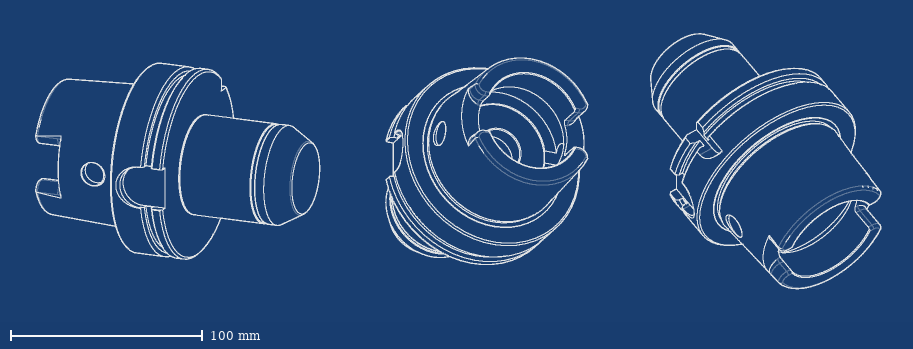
import cadquery as cq
import math


flange_radius = 50.0
flange_length = 29.0
flange_front_chamfer = 1.0
flange_rear_chamfer = 1.2
grip_groove_start = 17.0
grip_groove_width = 6.5
grip_groove_radius = 46.0
grip_lip_length = 1.3
grip_lip_depth = 2.0
face_relief_radius = 40.0
face_relief_depth = 0.5

shank_length = 50.0
taper_radius_at_flange = 38.15
taper_slope = 1 / 20
taper_end = -2.4
neck_start = -1.3
neck_radius = 37.4
shank_rim_radius = 1.6

nose_end = 90.0
nose_radius = 26.35
nose_relief_length = 0.7
nose_relief_depth = 0.3
ring_groove_start = 69.5
ring_groove_width = 2.8
ring_groove_depth = 0.4
ring_groove_slope = 0.4
nose_cone_start = 77.3
nose_cone_angle = 30.0
nose_end_chamfer = 0.75

bore_radius = 26.5
bore_straight_length = 19.0
bore_depth = 40.0
undercut_radius = 32.0
floor_recess_radius = 25.4
floor_recess_depth = 1.2
bore_mouth_chamfer = 0.5
centre_hole_radius = 11.6
centre_hole_depth = 10.0
centre_hole_chamfer = 0.5

drive_slot_half_width = 10.0
drive_slot_corner_radius = 2.0
front_slot_depth = 15.0
rear_slot_depth = 10.0
slot_flare_radius = 5.3
slot_flare_start = 26.9

cross_hole_x = -15.2
cross_hole_radius = 6.25
cross_hole_sink_start = 36.7

keyway_half_width = 11.0
keyway_end_x = 5.1
keyway_floor = 44.0
keyway_chamfer_start = 48.4
notch_corner = 31.2
notch_straight_start = 14.5
notch_end_radius = 9.4


def taper_radius(x):
    return taper_radius_at_flange + taper_slope * x


def revolved(points):
    """Revolve an (X, radius) outline around the X axis."""
    return cq.Workplane("XY").polyline(points).close().revolve(360, (0, 0, 0), (1, 0, 0))


def make_body():
    groove_end = grip_groove_start + grip_groove_width
    lip_radius = flange_radius - grip_lip_depth
    ring_groove_end = ring_groove_start + ring_groove_width
    ring_groove_radius = nose_radius - ring_groove_depth
    cone_end = nose_end - nose_end_chamfer
    cone_end_radius = nose_radius - (cone_end - nose_cone_start) * math.tan(math.radians(nose_cone_angle))
    nose_relief_radius = nose_radius - nose_relief_depth
    return revolved([
        (-shank_length, 0),
        (-shank_length, taper_radius(-shank_length)),
        (taper_end, taper_radius(taper_end)),
        (neck_start, neck_radius),
        (face_relief_depth, neck_radius),
        (face_relief_depth, face_relief_radius),
        (0, face_relief_radius),
        (0, flange_radius - flange_front_chamfer),
        (flange_front_chamfer, flange_radius),
        (grip_groove_start, flange_radius),
        (grip_groove_start + grip_lip_length, lip_radius),
        (grip_groove_start + grip_lip_length, grip_groove_radius),
        (groove_end - grip_lip_length, grip_groove_radius),
        (groove_end - grip_lip_length, lip_radius),
        (groove_end, flange_radius),
        (flange_length - flange_rear_chamfer, flange_radius),
        (flange_length, flange_radius - flange_rear_chamfer),
        (flange_length, nose_relief_radius),
        (flange_length + nose_relief_length, nose_relief_radius),
        (flange_length + nose_relief_length, nose_radius),
        (ring_groove_start, nose_radius),
        (ring_groove_start + ring_groove_slope, ring_groove_radius),
        (ring_groove_end - ring_groove_slope, ring_groove_radius),
        (ring_groove_end, nose_radius),
        (nose_cone_start, nose_radius),
        (cone_end, cone_end_radius),
        (nose_end, cone_end_radius - nose_end_chamfer),
        (nose_end, 0),
    ])


def make_bore():
    """Bore with a wider undercut behind its mouth, a recessed floor and a blind centre hole."""
    mouth = -shank_length
    floor = mouth + bore_depth
    recess_floor = floor + floor_recess_depth
    hole_end = recess_floor + centre_hole_depth
    undercut_start = mouth + bore_straight_length
    undercut_widening = undercut_radius - bore_radius
    return revolved([
        (mouth, 0),
        (mouth, bore_radius + bore_mouth_chamfer),
        (mouth + bore_mouth_chamfer, bore_radius),
        (undercut_start, bore_radius),
        (undercut_start + undercut_widening, undercut_radius),
        (floor, undercut_radius),
        (floor, floor_recess_radius),
        (recess_floor, floor_recess_radius),
        (recess_floor, centre_hole_radius + centre_hole_chamfer),
        (recess_floor + centre_hole_chamfer, centre_hole_radius),
        (hole_end, centre_hole_radius),
        (hole_end, 0),
    ])


def make_flare_section(outside, corner_z):
    """Half section across a drive slot, from the corner axis out to the flared wall."""
    flare_end = slot_flare_start + slot_flare_radius
    arc_reach = slot_flare_radius * math.sqrt(0.5)
    flare_centre_z = drive_slot_half_width + slot_flare_radius
    return (
        cq.Workplane("YZ")
        .moveTo(-slot_flare_start, corner_z)
        .lineTo(-slot_flare_start, drive_slot_half_width)
        .threePointArc(
            (-slot_flare_start - arc_reach, flare_centre_z - arc_reach),
            (-flare_end, flare_centre_z),
        )
        .lineTo(-flare_end, 2 * flare_centre_z)
        .lineTo(-outside, 2 * flare_centre_z)
        .lineTo(-outside, corner_z)
        .close()
    )


def make_drive_slot(depth):
    """Slot open toward -X and -Y, with walls that flare out to the taper in a round."""
    mouth = -shank_length
    floor = mouth + depth
    outside = taper_radius_at_flange + 1
    corner_x = floor - drive_slot_corner_radius
    corner_z = drive_slot_half_width - drive_slot_corner_radius
    channel = (
        cq.Workplane("XY")
        .box(depth, outside, 2 * drive_slot_half_width, centered=(False, False, True))
        .edges(">X and |Y")
        .fillet(drive_slot_corner_radius)
        .translate((mouth, -outside, 0))
    )
    straight = make_flare_section(outside, corner_z).extrude(corner_x - mouth).translate((mouth, 0, 0))
    turned = make_flare_section(outside, corner_z).revolve(360, (0, corner_z, 0), (1, corner_z, 0))
    turned = turned.translate((corner_x, 0, 0))
    beyond_corner = cq.Workplane("XY").box(
        drive_slot_corner_radius, 2 * outside, 2 * outside, centered=(False, True, False)
    ).translate((corner_x, 0, 0))
    flare = straight.union(turned.intersect(beyond_corner))
    return channel.union(flare).union(flare.mirror("XY"))


def make_drive_slots():
    """Both drive slots, with their wall edges rounded over at the mouth of the shank."""
    slots = make_drive_slot(front_slot_depth)
    slots = slots.union(make_drive_slot(rear_slot_depth).mirror("XZ"))
    blank = (
        cq.Workplane("YZ")
        .circle(taper_radius_at_flange)
        .extrude(shank_length)
        .translate((-shank_length, 0, 0))
    )
    slotted = blank.cut(slots)
    wall_edges = slotted.faces("<X").edges("%LINE")
    return blank.cut(slotted.newObject(wall_edges.vals()).fillet(shank_rim_radius))


def round_shank_rim(body):
    return body.faces("<X").edges().fillet(shank_rim_radius)


def make_cross_hole():
    """Hole through the shank along Y, countersunk where it meets the taper."""
    outside = taper_radius_at_flange
    sink_rise = outside - cross_hole_sink_start
    half_section = [
        (cross_hole_x, -outside),
        (cross_hole_x + cross_hole_radius + sink_rise, -outside),
        (cross_hole_x + cross_hole_radius, -cross_hole_sink_start),
        (cross_hole_x + cross_hole_radius, cross_hole_sink_start),
        (cross_hole_x + cross_hole_radius + sink_rise, outside),
        (cross_hole_x, outside),
    ]
    return (
        cq.Workplane("XY")
        .polyline(half_section)
        .close()
        .revolve(360, (cross_hole_x, 0, 0), (cross_hole_x, 1, 0))
    )


def make_keyway():
    """Round-ended keyway on the -Y side, open toward +X, with a chamfered rim."""
    round_x = keyway_end_x + keyway_half_width
    run_length = flange_length + 1 - round_x
    chamfer_rise = flange_radius + 1 - keyway_chamfer_start
    half_section = [
        (0, -keyway_floor),
        (keyway_half_width, -keyway_floor),
        (keyway_half_width, -keyway_chamfer_start),
        (keyway_half_width + chamfer_rise, -keyway_chamfer_start - chamfer_rise),
        (0, -keyway_chamfer_start - chamfer_rise),
    ]
    round_end = (
        cq.Workplane("XY")
        .polyline(half_section)
        .close()
        .revolve(360, (0, 0, 0), (0, 1, 0))
        .translate((round_x, 0, 0))
    )
    run_section = [(y, z) for z, y in half_section]
    run = cq.Workplane("YZ").polyline(run_section).close().extrude(run_length).translate((round_x, 0, 0))
    return round_end.union(run).union(run.mirror("XY"))


def make_orientation_notch():
    """Square notch on the +Y +Z quarter, running out toward -X in a round."""
    height = flange_radius - notch_corner
    length = flange_length + 1 - notch_straight_start
    run = cq.Workplane("XY").box(length, height, height, centered=False)
    round_end = (
        cq.Workplane("XZ")
        .center(0, notch_end_radius)
        .circle(notch_end_radius)
        .extrude(-height)
    )
    return run.union(round_end).translate((notch_straight_start, notch_corner, notch_corner))


result = round_shank_rim(make_body())
result = result.cut(make_drive_slots())
result = result.cut(make_bore())
result = result.cut(make_cross_hole())
keyway = make_keyway()
result = result.cut(keyway).cut(keyway.mirror("XZ"))
result = result.cut(make_orientation_notch())